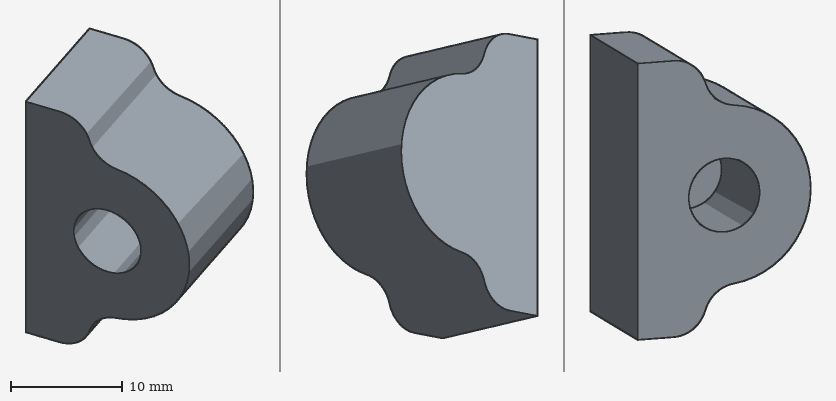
import cadquery as cq
import math

height = 25.4
thickness = 12.7
width = 16.48
boss_radius = 8.25
blend_radius = 3.18
shoulder_radius = 3.18
shoulder_flat = 3.4
hole_diameter = 6.75
hole_depth = 10.15

half_height = height / 2
boss_x = width - boss_radius
shoulder_center = (shoulder_flat, half_height - shoulder_radius)
boss_center = (boss_x, 0.0)


def point_towards(start, end, distance):
    """Point at the given distance from start on the line to end."""
    ratio = distance / math.dist(start, end)
    return (start[0] + ratio * (end[0] - start[0]), start[1] + ratio * (end[1] - start[1]))


def outer_blend_center():
    """Center of the blend circle touching both the boss and the shoulder from outside."""
    boss_reach = boss_radius + blend_radius
    shoulder_reach = shoulder_radius + blend_radius
    span = math.dist(boss_center, shoulder_center)
    along = (boss_reach**2 - shoulder_reach**2 + span**2) / (2 * span)
    offset = math.sqrt(boss_reach**2 - along**2)
    foot_x, foot_z = point_towards(boss_center, shoulder_center, along)
    unit_x = (shoulder_center[0] - boss_center[0]) / span
    unit_z = (shoulder_center[1] - boss_center[1]) / span
    return (foot_x + offset * unit_z, foot_z - offset * unit_x)


def arc_middle(center, start, end, radius):
    """Middle of the minor arc from start to end."""
    chord_middle = ((start[0] + end[0]) / 2, (start[1] + end[1]) / 2)
    return point_towards(center, chord_middle, radius)


def mirrored(point):
    """Point reflected about the horizontal mid-plane."""
    return (point[0], -point[1])


blend_center = outer_blend_center()
shoulder_start = (shoulder_flat, half_height)
shoulder_end = point_towards(shoulder_center, blend_center, shoulder_radius)
boss_start = point_towards(boss_center, blend_center, boss_radius)
shoulder_middle = arc_middle(shoulder_center, shoulder_start, shoulder_end, shoulder_radius)
blend_middle = arc_middle(blend_center, shoulder_end, boss_start, blend_radius)

body = (
    cq.Workplane("XZ")
    .moveTo(0, -half_height)
    .lineTo(0, half_height)
    .lineTo(*shoulder_start)
    .threePointArc(shoulder_middle, shoulder_end)
    .threePointArc(blend_middle, boss_start)
    .threePointArc((width, 0), mirrored(boss_start))
    .threePointArc(mirrored(blend_middle), mirrored(shoulder_end))
    .threePointArc(mirrored(shoulder_middle), mirrored(shoulder_start))
    .close()
    .extrude(-thickness)
)

hole = cq.Workplane("XZ").center(*boss_center).circle(hole_diameter / 2).extrude(-hole_depth)

result = body.cut(hole)